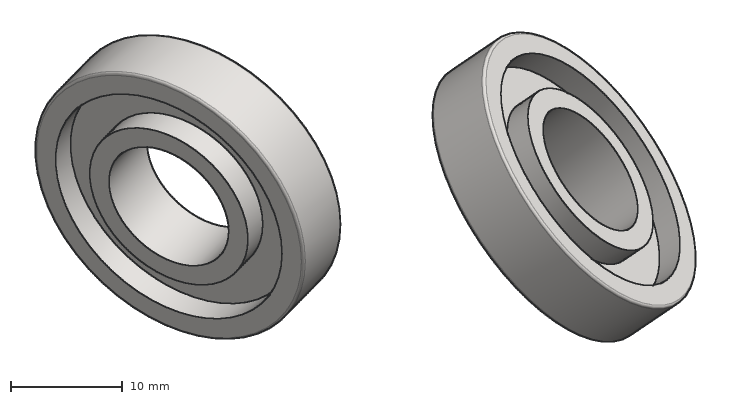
import cadquery as cq

outer_diameter = 28.57
width = 6.3
bore_diameter = 12.69
inner_ring_diameter = 16.77
outer_ring_bore = 24.0
recess_depth = 2.45
rim_fillet = 0.25


def cylinder(diameter, length, front):
    """Cylinder along +Y, starting at the given Y position."""
    plane = cq.Plane(origin=(0, front, 0), xDir=(1, 0, 0), normal=(0, 1, 0))
    return cq.Workplane(plane).circle(diameter / 2).extrude(length)


def annular_recess(front):
    """Groove volume between the inner and outer rings."""
    pocket = cylinder(outer_ring_bore, recess_depth, front)
    return pocket.cut(cylinder(inner_ring_diameter, recess_depth, front))


body = cylinder(outer_diameter, width, -width / 2).edges().fillet(rim_fillet)

for recess_front in (-width / 2, width / 2 - recess_depth):
    body = body.cut(annular_recess(recess_front))

result = body.cut(cylinder(bore_diameter, width, -width / 2))